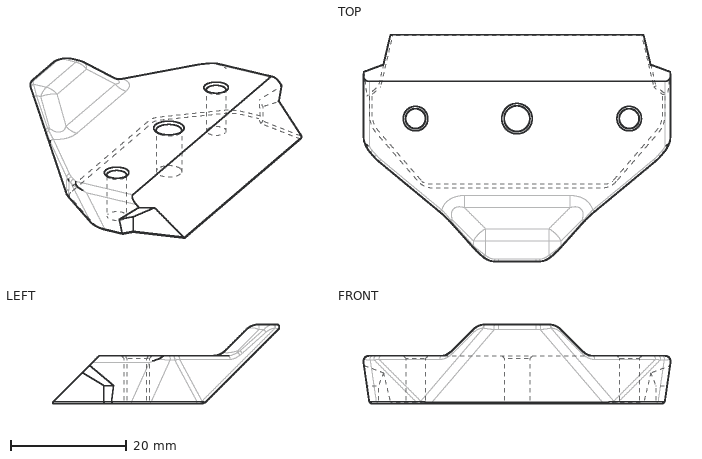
import cadquery as cq
import math

length = 53.25
depth = 39.3
height = 13.8
plate_top = 8.35

rim_radius = 0.5
side_rim_radius = 1.0
lip_corner_radius = 2.0
front_corner_radius = 4.0
side_corner_radius = 4.8
bottom_chamfer = 0.35

lip_base_half_width = 12.15
lip_base_back_y = 10.3
lip_radius = 3.0

side_draft = math.radians(8.3)
flank_angle = math.radians(39.6)
front_half_width_bottom = 16.1
front_half_width_top = 4.25
facet_front_gap = 0.8
facet_back_y_top = 20.05
facet_back_y_bottom = 23.85

tail_half_width = 21.95
tail_root_x = 24.0
tail_root_y = 30.45
undercut_angle = math.radians(40.6)
undercut_wall_height = 3.2

hole_y = 24.75
hole_chamfer = 0.4
holes = [(-17.55, 3.4), (0.0, 4.4), (19.45, 3.4)]

reach = 106.45
flank_rim_x = 18.65
flank_rim_y = 13.05
margin = 0.55

side_rim_angle = math.pi / 2 - side_draft
side_x_top = length / 2 + side_rim_radius * (1 / math.tan(side_rim_angle / 2) - 1)
side_x_bottom = side_x_top - plate_top * math.tan(side_draft)
front_y_bottom = height - rim_radius * math.sqrt(2)
back_y_bottom = depth + bottom_chamfer / math.sqrt(2)

front_bottom = cq.Vector(front_half_width_bottom, front_y_bottom, 0)
front_top = cq.Vector(front_half_width_top, front_y_bottom - height, height)
flank_along = cq.Vector(math.cos(flank_angle), math.sin(flank_angle), 0)
facet_front = front_bottom + flank_along * facet_front_gap
facet_back_bottom = cq.Vector(side_x_bottom, facet_back_y_bottom, 0)
facet_back_top = cq.Vector(side_x_top, facet_back_y_top, plate_top)

front_normal = cq.Vector(0, -1, -1).normalized()
back_normal = cq.Vector(0, 1, 1).normalized()
side_normal = cq.Vector(math.cos(side_draft), 0, -math.sin(side_draft))
flank_normal = (front_top - front_bottom).cross(flank_along).normalized() * -1
facet_normal = (facet_back_bottom - facet_front).cross(facet_back_top - facet_front).normalized()


def chamfer_bottom(block):
    """Cut a block off at Z = 0 and chamfer its lower edges."""
    floor = cq.Workplane().box(4 * reach, 4 * reach, 2 * reach, centered=(True, True, False))
    return block.intersect(floor).faces("<Z").edges().chamfer(bottom_chamfer)


def rounded_wedge(point, normal_a, normal_b, radius):
    """A large block with two outer faces that meet in a rounded edge through a point."""
    axis = normal_a.cross(normal_b)
    half_turn = normal_a.getAngle(normal_b) / 2
    fall = reach * math.sin(half_turn)
    spread = reach * math.cos(half_turn)
    outline = [(0, 0), (-fall, spread), (-reach, spread), (-reach, -spread), (-fall, -spread)]
    plane = cq.Plane(origin=point, xDir=normal_a + normal_b, normal=axis)
    block = cq.Workplane(plane).polyline(outline).close().extrude(reach, both=True)
    block = block.edges(cq.selectors.NearestToPointSelector(point)).fillet(radius)
    return chamfer_bottom(block)


def make_plate_and_lip():
    """An endless plate with the lip raised on it, all inner corners rounded."""
    plate = cq.Workplane().box(2 * reach, 2 * reach, plate_top, centered=(True, True, False))
    lip_length = reach / 2
    lip = (
        cq.Workplane(origin=(0, lip_base_back_y - lip_length / 2, plate_top))
        .rect(2 * lip_base_half_width, lip_length)
        .extrude(height - plate_top, taper=45)
    )
    back_corners = cq.selectors.BoxSelector(
        (-lip_base_half_width, 0, plate_top + margin),
        (lip_base_half_width, lip_base_back_y, height - margin),
    )
    lip = lip.edges(back_corners).add(lip.faces(">Z").edges()).fillet(lip_radius)
    body = plate.union(lip)
    foot = cq.selectors.BoxSelector(
        (-lip_base_half_width - margin, -lip_length, plate_top - margin),
        (lip_base_half_width + margin, lip_base_back_y + margin, plate_top + margin),
        boundingbox=True,
    )
    return body.edges(foot).fillet(lip_radius)


def trim_outline(body):
    """Trim to the front face, the flanks, the corner facets and the sides."""
    wedges = [
        rounded_wedge(front_bottom, front_normal, flank_normal, lip_corner_radius),
        rounded_wedge(facet_front, flank_normal, facet_normal, front_corner_radius),
        rounded_wedge(facet_back_bottom, facet_normal, side_normal, side_corner_radius),
    ]
    for wedge in wedges:
        body = body.intersect(wedge).intersect(wedge.mirror("YZ"))
    return body


def round_rim(body):
    """Round the upper edge along the lip, the flanks and the corners."""
    spots = [
        (0, front_top.y, height),
        (flank_rim_x, flank_rim_y, plate_top),
        (-flank_rim_x, flank_rim_y, plate_top),
    ]
    picked = [body.edges(cq.selectors.NearestToPointSelector(spot)).val() for spot in spots]
    rim = body.newObject(picked)
    return rim.fillet(rim_radius)


def round_side_rims(body):
    """Round the long side rims more than the rest and leave the lip untouched."""
    section = [
        (-side_x_bottom, 0),
        (side_x_bottom, 0),
        (side_x_top, plate_top),
        (-side_x_top, plate_top),
    ]
    limit = cq.Workplane("XZ").polyline(section).close().extrude(reach, both=True)
    limit = limit.edges("|Y and >Z").fillet(side_rim_radius)
    middle = cq.Workplane().box(2 * flank_rim_x, 2 * reach, 2 * reach)
    return body.intersect(limit.union(middle))


def trim_back(body):
    """Trim the back to a 45 degree slope that ends in a thin lower edge."""
    plane = cq.Plane(origin=(0, back_y_bottom, 0), xDir=(1, 0, 0), normal=back_normal)
    block = cq.Workplane(plane).rect(2 * reach, 2 * reach).extrude(-reach)
    return body.intersect(chamfer_bottom(block))


def cut_undercuts(body):
    """Narrow both back ends below a 45 degree roof."""
    root = (tail_root_x, tail_root_y, 0)
    outward = cq.Vector(math.sin(undercut_angle), math.cos(undercut_angle), 0)
    wall = cq.Plane(origin=root, xDir=outward, normal=outward.cross(cq.Vector(0, 0, 1)))
    section = [
        (0, -margin),
        (0, undercut_wall_height),
        (height - undercut_wall_height, height),
        (reach, height),
        (reach, -margin),
    ]
    undercut = cq.Workplane(wall).polyline(section).close().extrude(reach, both=True)

    tail_side = cq.Vector(tail_half_width - tail_root_x, depth - tail_root_y, 0)
    tail = cq.Workplane(cq.Plane(origin=root, xDir=tail_side, normal=(0, 0, 1)))
    tail = tail.center(0, reach / 2).rect(2 * reach, reach).extrude(reach, both=True)
    undercut = undercut.cut(tail)

    block = cq.Workplane().box(2 * reach, 2 * reach, 2 * height, centered=(True, True, False))
    block = block.cut(undercut).cut(undercut.mirror("YZ"))
    return body.intersect(chamfer_bottom(block))


def drill_holes(body):
    """Drill the through holes and chamfer their upper mouths."""
    for x, diameter in holes:
        radius = diameter / 2
        drill = cq.Solid.makeCylinder(radius, plate_top, cq.Vector(x, hole_y, 0))
        mouth = cq.Solid.makeCone(
            radius,
            radius + hole_chamfer,
            hole_chamfer,
            pnt=cq.Vector(x, hole_y, plate_top - hole_chamfer),
        )
        body = body.cut(cq.Workplane(drill)).cut(cq.Workplane(mouth))
    return body


body = make_plate_and_lip()
body = trim_outline(body)
body = round_rim(body)
body = trim_back(body)
body = round_side_rims(body)
body = cut_undercuts(body)
result = drill_holes(body)